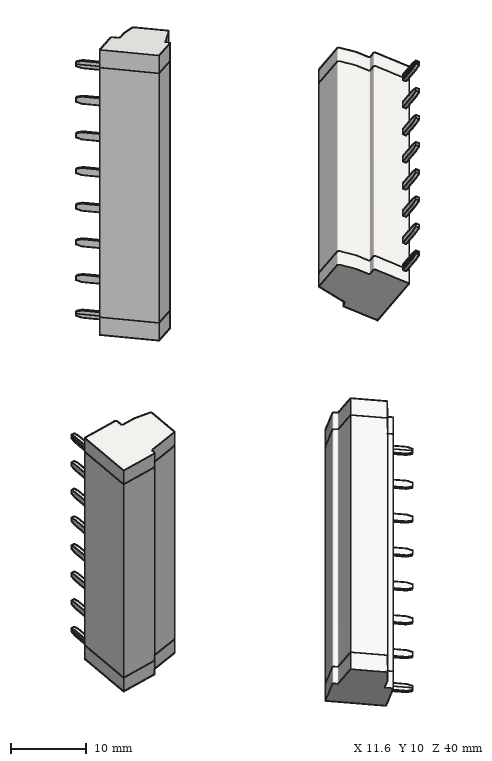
import cadquery as cq

pin_count = 8
pitch = 5.0
end_height = pitch / 2
middle_height = (pin_count - 1) * pitch
total_height = middle_height + 2 * end_height

base_width = 8.2
base_depth = 5.4
total_depth = 10.0
nose_left = 1.2
nose_knee_depth = 7.5
nose_tip_left = 1.7
nose_tip_right = 6.65
nose_root_right = 7.5
root_fillet = 0.15
shoulder_fillet = 0.25
nose_tip_fillet = 0.3

pin_length = 3.4
pin_width = 1.0
pin_thickness = 0.5
pin_offset = 0.5
pin_taper_length = 0.8
pin_tip_width = 0.55


def round_upright_edge(body, x, y, radius):
    """Round the edge parallel to Z that stands at the given XY corner."""
    return body.edges(cq.NearestToPointSelector((x, y, total_height / 2))).fillet(radius)


def make_housing():
    """Full-height stepped block with a tapering nose."""
    housing = (
        cq.Workplane("XY")
        .polyline([
            (0, 0),
            (base_width, 0),
            (base_width, base_depth),
            (nose_root_right, base_depth),
            (nose_tip_right, total_depth),
            (nose_tip_left, total_depth),
            (nose_left, nose_knee_depth),
            (nose_left, base_depth),
            (0, base_depth),
        ])
        .close()
        .extrude(total_height)
    )
    for x in (0, base_width):
        housing = round_upright_edge(housing, x, base_depth, shoulder_fillet)
    for x in (nose_left, nose_root_right):
        housing = round_upright_edge(housing, x, base_depth, root_fillet)
    return round_upright_edge(housing, nose_tip_left, total_depth, nose_tip_fillet)


def make_pin(level):
    """Flat blade centred on the given Z level, narrowing towards its tip."""
    taper_start = pin_taper_length - pin_length
    return (
        cq.Workplane("XZ", origin=(0, pin_offset, level))
        .polyline([
            (0, -pin_width / 2),
            (taper_start, -pin_width / 2),
            (-pin_length, -pin_tip_width / 2),
            (-pin_length, pin_tip_width / 2),
            (taper_start, pin_width / 2),
            (0, pin_width / 2),
        ])
        .close()
        .extrude(-pin_thickness)
    )


def make_pinned_housing():
    """Housing with its whole row of pins."""
    pinned = make_housing()
    for index in range(pin_count):
        pinned = pinned.union(make_pin(end_height + index * pitch))
    return pinned


def slice_between(body, bottom, height):
    """Part of the body that lies within one band of Z."""
    slab = (
        cq.Workplane("XY", origin=(-pin_length, 0, bottom))
        .box(pin_length + base_width, total_depth, height, centered=False)
    )
    return body.intersect(slab)


pinned_housing = make_pinned_housing()
lower_end = slice_between(pinned_housing, 0, end_height)
middle = slice_between(pinned_housing, end_height, middle_height)
upper_end = slice_between(pinned_housing, end_height + middle_height, end_height)

result = cq.Compound.makeCompound([lower_end.val(), middle.val(), upper_end.val()])